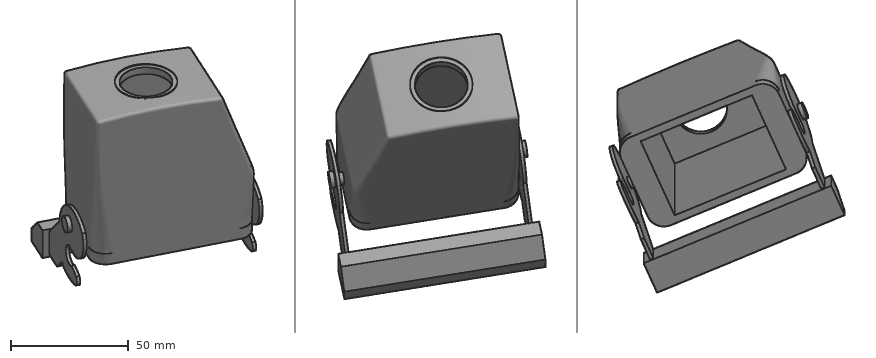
import cadquery as cq
import math


WIDTH = 43
LENGTH = 73.2
HEIGHT = 74.8
RIM_HEIGHT = 5.5
END_DRAFT = 0.8
DOME_RISE = 1.5
SLOPE_TOP_Y = 21.3
SLOPE_BOTTOM_Z = 32.0
SLOPE_BEND_RADIUS = 9.3
TOP_FILLET = 1.5
CORNER_RADIUS = 7.5
STRAIGHT_CORNER_RADII = [[TOP_FILLET, 2.85, CORNER_RADIUS]]
SLOPED_CORNER_RADII = [
    [CORNER_RADIUS, 5.5, 3.4],
    [3.4, 3.2, 2.9],
    [2.9, 2, TOP_FILLET],
]

SIDE_WALL = 3.4
END_WALL = 10.8
ROOF_WALL = 3.9

ENTRY_DIAMETER = 22.5
ENTRY_Y = -5.9
SEAT_DIAMETER = 26.6
SEAT_DEPTH = 0.5

BAR_LENGTH = 87
BAR_WIDTH = 14.4
BAR_HEIGHT = 14.2
BAR_CHAMFER = 7.8
BAR_LEFT_X = -40.0
BAR_BOTTOM_Z = -23.0

ARM_INNER_Y = 38.9
ARM_THICKNESS = 1.6
ARM_BOTTOM_Z = -21.8
ARM_BOTTOM_END_X = -15.6
CROWN_CENTRE = (4.9, 1.4)
CROWN_RADIUS = 17.8
CROWN_START_ANGLE = 175
CROWN_END_ANGLE = 49.5
LOBE_CENTRE = (5.9, 9.8)
LOBE_RADIUS = 12.1
LOBE_MIDDLE_ANGLE = -30
LOBE_END_ANGLE = 260
NOTCH_CENTRE = (0, -6.4)
NOTCH_RADIUS = 4.5
NOTCH_START_ANGLE = 78
NOTCH_END_ANGLE = 306
FINGER_TOP_MIDDLE = (6.1, -10.9)
FINGER_TIP_START = (8.6, -11.9)
FINGER_TIP = (9.7, -14.0)
FINGER_UNDERSIDE_RADIUS = 27.8
FINGER_TIP_END_X = 7.8
FINGER_ROOT_X = -10.0

PIVOT_Z = 9.8
SHAFT_DIAMETER = 5.3
HEAD_DIAMETER = 7.2
HEAD_OUTER_Y = 42.5


def on_circle(centre, radius, degrees):
    """Point on a circle, with the angle counted from the horizontal axis."""
    angle = math.radians(degrees)
    return (centre[0] + radius * math.cos(angle), centre[1] + radius * math.sin(angle))



END_Y = LENGTH / 2
SHOULDER_Z = HEIGHT - DOME_RISE
DRAFT_RATIO = math.tan(math.radians(END_DRAFT))
SLOPE_BOTTOM_Y = END_Y - (SLOPE_BOTTOM_Z - RIM_HEIGHT) * DRAFT_RATIO
ROOF_FRONT_Y = -END_Y + (SHOULDER_Z - RIM_HEIGHT) * DRAFT_RATIO
ROOF_MIDDLE_Y = (ROOF_FRONT_Y + SLOPE_TOP_Y) / 2


def extrude_along_x(outline, length):
    """Extrude a YZ outline by the given length, centred on X = 0."""
    return outline.extrude(length / 2, both=True)


def fillet_with_changing_radius(body, edge, radii_by_edge):
    """Round an edge, and the edges that run on from it smoothly, with a radius that changes along them."""
    kernel = cq.occ_impl.shapes
    maker = kernel.BRepFilletAPI_MakeFillet(body.val().wrapped)
    maker.Add(edge.wrapped)
    for edge_number, radii in enumerate(radii_by_edge, start=1):
        law = kernel.TColgp_HArray1OfPnt2d(1, len(radii))
        for step, radius in enumerate(radii):
            law.SetValue(step + 1, kernel.gp_Pnt2d(step / (len(radii) - 1), radius))
        maker.SetRadius(law, 1, edge_number)
    return cq.Workplane(cq.Shape.cast(maker.Shape()))


def make_rim():
    rim = cq.Workplane("XY").rect(WIDTH, LENGTH).extrude(RIM_HEIGHT)
    return rim.edges("|Z").fillet(CORNER_RADIUS)


def make_upper_shell():
    outline = (
        cq.Workplane("YZ")
        .moveTo(-END_Y, RIM_HEIGHT)
        .lineTo(END_Y, RIM_HEIGHT)
        .lineTo(SLOPE_BOTTOM_Y, SLOPE_BOTTOM_Z)
        .lineTo(SLOPE_TOP_Y, SHOULDER_Z)
        .threePointArc((ROOF_MIDDLE_Y, HEIGHT), (ROOF_FRONT_Y, SHOULDER_Z))
        .close()
    )
    shell = extrude_along_x(outline, WIDTH)
    bend = cq.selectors.NearestToPointSelector((0, SLOPE_BOTTOM_Y, SLOPE_BOTTOM_Z))
    shell = shell.edges(bend).fillet(SLOPE_BEND_RADIUS)
    for end, radii in ((-1, STRAIGHT_CORNER_RADII), (1, SLOPED_CORNER_RADII)):
        for side in (-1, 1):
            near_corner = (side * WIDTH / 2, end * END_Y, SLOPE_BOTTOM_Z)
            edge = shell.edges("#X").edges(cq.selectors.NearestToPointSelector(near_corner)).val()
            shell = fillet_with_changing_radius(shell, edge, radii)
    roof = shell.faces(cq.selectors.NearestToPointSelector((0, ROOF_MIDDLE_Y, HEIGHT)))
    return roof.edges().fillet(TOP_FILLET)


def make_cavity():
    inner_y = END_Y - END_WALL
    ceiling = HEIGHT - ROOF_WALL
    slope_angle = math.atan2(SLOPE_BOTTOM_Y - SLOPE_TOP_Y, SHOULDER_Z - SLOPE_BOTTOM_Z)
    slope_ratio = math.tan(slope_angle)
    slope_inset = ROOF_WALL / math.cos(slope_angle)

    ceiling_end_y = SLOPE_TOP_Y + (SHOULDER_Z - ceiling) * slope_ratio - slope_inset
    bend_z = ceiling - (inner_y - ceiling_end_y) / slope_ratio
    outline = cq.Workplane("YZ").polyline(
        [
            (-inner_y, 0),
            (inner_y, 0),
            (inner_y, bend_z),
            (ceiling_end_y, ceiling),
            (-inner_y, ceiling),
        ]
    ).close()
    return extrude_along_x(outline, WIDTH - 2 * SIDE_WALL)


def make_cable_entry():
    roof = cq.Workplane("XY", origin=(0, ENTRY_Y, HEIGHT))
    bore = roof.circle(ENTRY_DIAMETER / 2).extrude(-2 * ROOF_WALL)
    seat = roof.circle(SEAT_DIAMETER / 2).extrude(-SEAT_DEPTH)
    return bore.union(seat)


def make_housing():
    outside = make_rim().union(make_upper_shell(), clean=False)
    return outside.cut(make_cavity(), clean=False).cut(make_cable_entry(), clean=False)



BAR_RIGHT_X = BAR_LEFT_X + BAR_WIDTH


def cylinder_along_y(diameter, start_y, end_y):
    """Cylinder on the pivot axis."""
    circle = cq.Workplane("XZ", origin=(0, start_y, PIVOT_Z)).circle(diameter / 2)
    return circle.extrude(start_y - end_y)


def make_bar():
    bar_top = BAR_BOTTOM_Z + BAR_HEIGHT
    outline = cq.Workplane("XZ").polyline(
        [
            (BAR_LEFT_X, BAR_BOTTOM_Z),
            (BAR_RIGHT_X, BAR_BOTTOM_Z),
            (BAR_RIGHT_X, bar_top),
            (BAR_LEFT_X + BAR_CHAMFER, bar_top),
            (BAR_LEFT_X, bar_top - BAR_CHAMFER),
        ]
    ).close()
    return outline.extrude(BAR_LENGTH / 2, both=True)


def finger_underside(x):
    """Point below the pivot on the underside of the finger."""
    return (x, PIVOT_Z - math.sqrt(FINGER_UNDERSIDE_RADIUS**2 - x**2))


def make_arm():
    """Arm on the +Y side."""
    crown_start = on_circle(CROWN_CENTRE, CROWN_RADIUS, CROWN_START_ANGLE)
    crown_top = on_circle(CROWN_CENTRE, CROWN_RADIUS, 90)
    crown_end = on_circle(CROWN_CENTRE, CROWN_RADIUS, CROWN_END_ANGLE)
    neck_bottom_z = crown_start[1] - (crown_start[0] - BAR_RIGHT_X)
    return (
        cq.Workplane("XZ", origin=(0, ARM_INNER_Y + ARM_THICKNESS, 0))
        .moveTo(BAR_RIGHT_X, ARM_BOTTOM_Z)
        .lineTo(BAR_RIGHT_X, neck_bottom_z)
        .lineTo(*crown_start)
        .threePointArc(crown_top, crown_end)
        .threePointArc(
            on_circle(LOBE_CENTRE, LOBE_RADIUS, LOBE_MIDDLE_ANGLE),
            on_circle(LOBE_CENTRE, LOBE_RADIUS, LOBE_END_ANGLE),
        )
        .lineTo(*on_circle(NOTCH_CENTRE, NOTCH_RADIUS, NOTCH_START_ANGLE))
        .threePointArc(
            on_circle(NOTCH_CENTRE, NOTCH_RADIUS, 180),
            on_circle(NOTCH_CENTRE, NOTCH_RADIUS, NOTCH_END_ANGLE),
        )
        .threePointArc(FINGER_TOP_MIDDLE, FINGER_TIP_START)
        .threePointArc(FINGER_TIP, finger_underside(FINGER_TIP_END_X))
        .threePointArc(finger_underside(0), finger_underside(FINGER_ROOT_X))
        .lineTo(ARM_BOTTOM_END_X, ARM_BOTTOM_Z)
        .close()
        .extrude(ARM_THICKNESS)
    )


def make_lever(housing):
    shaft_start_y = END_Y - END_WALL / 2
    arm = make_arm()
    arm = arm.union(cylinder_along_y(SHAFT_DIAMETER, shaft_start_y, ARM_INNER_Y))
    arm = arm.union(cylinder_along_y(HEAD_DIAMETER, ARM_INNER_Y + ARM_THICKNESS, HEAD_OUTER_Y))
    lever = make_bar().union(arm).union(arm.mirror("XZ"))
    return lever.cut(housing)


housing = make_housing()
lever = make_lever(housing)

result = cq.Compound.makeCompound([housing.solids().val(), lever.solids().val()])